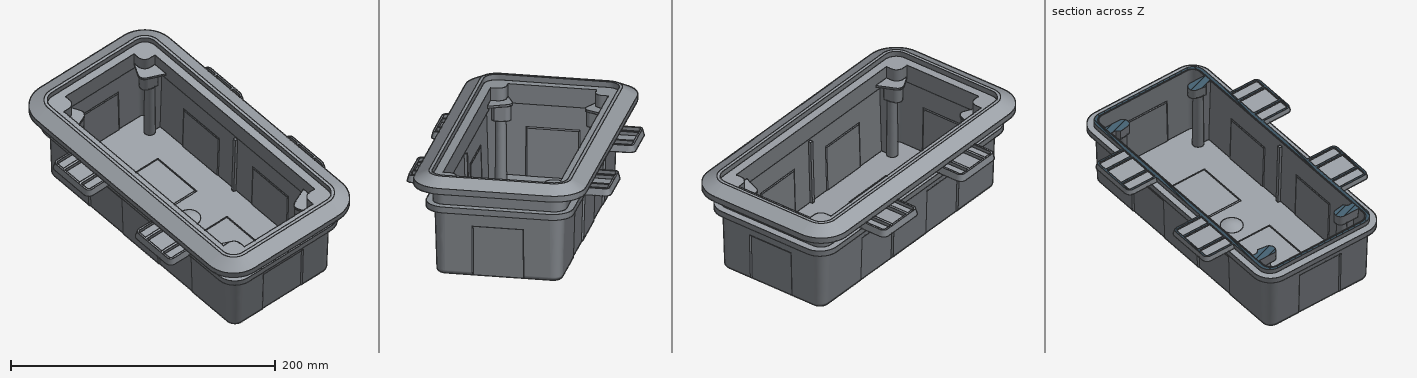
import cadquery as cq
import math


LENGTH = 249.0
WIDTH = 132.5
HEIGHT = 81.0
SPLIT_Z = 57.3

BOX_LENGTH = 219.5
BOX_WIDTH = 100.5
BOX_CORNER_RADIUS = 9.7
DRAFT = 1.7
WALL = 3.0
FLOOR = 2.5
BOTTOM_FILLET = 3.2
COLLAR_OVERHANG = 6.5
COLLAR_THICKNESS = 4.7
NECK_INSET = 1.5
NECK_TOP_Z = 61.0

PANEL_SIZE = 39.8
PANEL_TOP_Z = 40.8
PANEL_SPACING = 80.2
PANEL_RECESS = 1.5
RECESS_TAPER = 25
PAD_SIZE = 41.8
PAD_TOP_Z = 41.8
PAD_RAISE = 0.5
PAD_BEVEL = 65
FLOOR_PANEL_SIZE = 45.3

DOME_RADIUS = 8.7
DOME_HEIGHT = 2.0
RIB_WIDTH = 2.5
RIB_DEPTH = 2.2

FRAME_LENGTH = 220.5
FRAME_WIDTH = 103.0
FRAME_CORNER_RADIUS = 10.0
RIM_CORNER_RADIUS = 24.5
RIM_BOTTOM_Z = 70.5
RIM_EDGE = 4.7
RIM_SLOPE_RUN = 11.5
RIM_LIP = 2.5
LEDGE_Z = 76.5
OPENING_LENGTH = 207.7
OPENING_WIDTH = 91.0

COLUMN_SIDE = 11.2
COLUMN_RADIUS = 6.5
LUG_TOP_Z = 66.2
LUG_THICKNESS = 1.7
LUG_BOTTOM_Z = LUG_TOP_Z - LUG_THICKNESS
LUG_TIP = (88.1, 26.5)
LUG_TIP_RADIUS = 5.0
LUG_WALL_X = 79.7

POST_X = 88.5
POST_Y = 36.5
POST_BASE_RADIUS = 4.5
POST_TOP_RADIUS = 4.0
CAP_BOTTOM_Z = 52.8
CAP_BACK_X = 87.0
CAP_SIDE = (84.2, 41.0)
CAP_SIDE_RUN = 2.5
CAP_TIP_CENTER = (90.1, 34.0)
CAP_TIP_RADIUS = 5.0
CAP_TIP_START = 200
WEB_THICKNESS = 2.7

TAB_SPACING = 95.0
TAB_LENGTH = 43.5
TAB_SPAN = 157.5
TAB_HEIGHT = 5.2
TAB_SIDE_INSET = 1.5
TAB_CORNER_RADIUS = 5.0
TAB_RIM = 1.5
TAB_POCKET_DEPTH = 2.7
TAB_RIB_WIDTH = 2.0
TAB_RIB_OFFSET = 9.5

SIDES = (-1, 1)
OVERCUT = 2.5
DRAFT_SLOPE = math.tan(math.radians(DRAFT))


def rounded_block(length, width, radius, bottom_z, height, taper=0.0):
    """Upright block centred on the Z axis with rounded vertical corners."""
    outline = cq.Sketch().rect(length, width).vertices().fillet(radius)
    return cq.Workplane("XY", origin=(0, 0, bottom_z)).placeSketch(outline).extrude(height, taper=taper)


def box_block(inset, bottom_z, height, taper=0.0):
    """Block with the outline of the box at the split plane, moved inward by inset."""
    return rounded_block(
        BOX_LENGTH - 2 * inset, BOX_WIDTH - 2 * inset, BOX_CORNER_RADIUS - inset, bottom_z, height, taper
    )


def in_four_corners(shape):
    """The given shape with its mirror images in the other three corners."""
    pair = shape.union(shape.mirror("YZ"))
    return pair.union(pair.mirror("XZ"))


def cap_prism(bottom_z, top_z):
    """Prism of the post cap, running from its rounded tip past the long wall of its corner."""
    far_y = BOX_WIDTH / 2
    center_x, center_y = CAP_TIP_CENTER

    def tip_point(degrees):
        angle = math.radians(degrees)
        return (center_x + CAP_TIP_RADIUS * math.cos(angle), center_y + CAP_TIP_RADIUS * math.sin(angle))

    outline = (
        cq.Workplane("XY", origin=(0, 0, bottom_z))
        .moveTo(CAP_BACK_X, far_y)
        .lineTo(CAP_BACK_X, CAP_SIDE[1] + CAP_SIDE_RUN)
        .lineTo(*CAP_SIDE)
        .lineTo(*tip_point(CAP_TIP_START))
        .threePointArc(tip_point((CAP_TIP_START + 360) / 2), tip_point(360))
        .lineTo(center_x + CAP_TIP_RADIUS, far_y)
        .close()
    )
    return outline.extrude(top_z - bottom_z)


def frame_opening():
    """Clear rectangular opening of the frame, from the split plane up."""
    return (
        cq.Workplane("XY", origin=(0, 0, SPLIT_Z))
        .rect(OPENING_LENGTH, OPENING_WIDTH)
        .extrude(HEIGHT - SPLIT_Z)
    )


def box_shell():
    outer = box_block(0, SPLIT_Z, -SPLIT_Z, DRAFT).faces("<Z").edges().fillet(BOTTOM_FILLET)
    collar = box_block(-COLLAR_OVERHANG, SPLIT_Z - COLLAR_THICKNESS, COLLAR_THICKNESS)
    neck = box_block(NECK_INSET, SPLIT_Z, NECK_TOP_Z - SPLIT_Z)
    mouth_inset = WALL - (NECK_TOP_Z - SPLIT_Z) * DRAFT_SLOPE
    cavity = box_block(mouth_inset, NECK_TOP_Z, FLOOR - NECK_TOP_Z, DRAFT)
    return outer.union(collar).union(neck).cut(cavity)


def wall_plane(half_width, along):
    """Plane on a drafted wall facing -Y, with its origin at the height of the underside."""
    foot_y = half_width - SPLIT_Z * DRAFT_SLOPE
    angle = math.radians(DRAFT)
    return cq.Plane(
        origin=(along, -foot_y, 0), xDir=(1, 0, 0), normal=(0, -math.cos(angle), -math.sin(angle))
    )


def panel_recess(half_width, along):
    """Cutter for the outside of a knockout, open at the underside of the box."""
    height = PANEL_TOP_Z + OVERCUT
    cutter = cq.Workplane(wall_plane(half_width, along)).center(0, PANEL_TOP_Z - height / 2)
    return cutter.rect(PANEL_SIZE, height).extrude(-PANEL_RECESS, taper=RECESS_TAPER)


def panel_pad(half_width, along):
    """Raised pad with bevelled edges on the inside of a knockout."""
    foot = FLOOR / 2
    height = PAD_TOP_Z - foot
    pad = cq.Workplane(wall_plane(half_width - WALL, along)).center(0, foot + height / 2)
    return pad.rect(PAD_SIZE, height).extrude(-PAD_RAISE, taper=PAD_BEVEL)


def add_wall_panels(body):
    """Two knockouts in each long wall and one in each end wall."""
    long_wall = [(BOX_WIDTH / 2, side * PANEL_SPACING / 2, turn) for side in SIDES for turn in (0, 180)]
    end_wall = [(BOX_LENGTH / 2, 0, turn) for turn in (90, 270)]
    for half_width, along, turn in long_wall + end_wall:
        pad = panel_pad(half_width, along).rotate((0, 0, 0), (0, 0, 1), turn)
        recess = panel_recess(half_width, along).rotate((0, 0, 0), (0, 0, 1), turn)
        body = body.union(pad).cut(recess)
    return body


def floor_panels():
    places = [(side * PANEL_SPACING / 2, 0) for side in SIDES]
    pads = cq.Workplane("XY", origin=(0, 0, FLOOR)).pushPoints(places)
    return pads.rect(FLOOR_PANEL_SIZE, FLOOR_PANEL_SIZE).extrude(PAD_RAISE, taper=PAD_BEVEL)


def floor_dome():
    profile = (
        cq.Workplane("XZ", origin=(0, 0, FLOOR))
        .moveTo(0, DOME_HEIGHT)
        .radiusArc((DOME_RADIUS, 0), (DOME_RADIUS**2 + DOME_HEIGHT**2) / (2 * DOME_HEIGHT))
        .lineTo(0, 0)
        .close()
    )
    return profile.revolve(360, (0, 0), (0, 1))


def wall_ribs():
    """One upright rib in the middle of each long wall, as deep at the top as at the floor."""
    top_y = BOX_WIDTH / 2 - WALL
    floor_y = top_y - (SPLIT_Z - FLOOR) * DRAFT_SLOPE
    joint = WALL / 2
    profile = [
        (top_y + joint, SPLIT_Z), (top_y - RIB_DEPTH, SPLIT_Z),
        (floor_y - RIB_DEPTH, FLOOR), (floor_y + joint, FLOOR),
    ]
    rib = cq.Workplane("YZ").polyline(profile).close().extrude(RIB_WIDTH / 2, both=True)
    return rib.union(rib.mirror("XZ"))


def screw_posts():
    """Tapered post, web to the long wall and cap reaching up to the frame lug, in each corner."""
    height = CAP_BOTTOM_Z - FLOOR
    post_taper = math.degrees(math.atan((POST_BASE_RADIUS - POST_TOP_RADIUS) / height))
    floor_plane = cq.Workplane("XY", origin=(0, 0, FLOOR))
    post = floor_plane.center(POST_X, POST_Y).circle(POST_BASE_RADIUS).extrude(height, taper=post_taper)
    web_depth = BOX_WIDTH / 2 - WALL - POST_Y
    web = floor_plane.center(CAP_BACK_X, POST_Y).rect(WEB_THICKNESS, web_depth, centered=False).extrude(height)
    neck_outline = box_block(NECK_INSET, CAP_BOTTOM_Z, NECK_TOP_Z - CAP_BOTTOM_Z)
    cap = cap_prism(CAP_BOTTOM_Z, NECK_TOP_Z).intersect(neck_outline)
    cap_top = cap_prism(NECK_TOP_Z, LUG_BOTTOM_Z).intersect(frame_opening())
    return in_four_corners(post.union(web).union(cap).union(cap_top))


def make_box():
    body = add_wall_panels(box_shell())
    return body.union(floor_panels()).union(floor_dome()).union(wall_ribs()).union(screw_posts())


def frame_ring():
    """Upright wall and sloped rim, stepped down to a ledge around the opening."""
    skirt = rounded_block(
        FRAME_LENGTH, FRAME_WIDTH, FRAME_CORNER_RADIUS, SPLIT_Z, RIM_BOTTOM_Z - SPLIT_Z
    )
    rim_height = HEIGHT - RIM_BOTTOM_Z
    rim = rounded_block(LENGTH, WIDTH, RIM_CORNER_RADIUS, RIM_BOTTOM_Z, rim_height)
    rim = rim.faces(">Z").edges().chamfer(rim_height - RIM_EDGE, RIM_SLOPE_RUN)
    inset = RIM_SLOPE_RUN + RIM_LIP
    recess = rounded_block(
        LENGTH - 2 * inset, WIDTH - 2 * inset, RIM_CORNER_RADIUS - inset, LEDGE_Z, HEIGHT - LEDGE_Z
    )
    return skirt.union(rim).cut(recess)


def side_tabs():
    """Tabs with sloped sides and an open pocket crossed by two ribs, two on each long side."""
    root_y = OPENING_WIDTH / 2
    depth = TAB_SPAN / 2 - root_y
    slope = math.degrees(math.atan(TAB_SIDE_INSET / TAB_HEIGHT))
    outline = cq.Sketch().rect(TAB_LENGTH, depth).vertices(">Y").fillet(TAB_CORNER_RADIUS)
    tab = (
        cq.Workplane("XY", origin=(0, root_y + depth / 2, SPLIT_Z))
        .placeSketch(outline)
        .extrude(TAB_HEIGHT, taper=slope)
    )

    margin = TAB_SIDE_INSET + TAB_RIM
    pocket_root_y = FRAME_WIDTH / 2
    pocket_depth = TAB_SPAN / 2 - margin - pocket_root_y
    pocket_outline = (
        cq.Sketch().rect(TAB_LENGTH - 2 * margin, pocket_depth)
        .vertices(">Y").fillet(TAB_CORNER_RADIUS - margin)
    )
    pocket = (
        cq.Workplane("XY", origin=(0, pocket_root_y + pocket_depth / 2, SPLIT_Z + TAB_HEIGHT))
        .placeSketch(pocket_outline)
        .extrude(-TAB_POCKET_DEPTH)
    )
    ribs = (
        cq.Workplane("XY", origin=(0, pocket_root_y + pocket_depth / 2, SPLIT_Z))
        .pushPoints([(side * TAB_RIB_OFFSET, 0) for side in SIDES])
        .rect(TAB_RIB_WIDTH, pocket_depth)
        .extrude(TAB_HEIGHT)
    )
    tab = tab.cut(pocket.cut(ribs))
    return in_four_corners(tab.translate((TAB_SPACING / 2, 0, 0)))


def corner_lugs():
    """Rounded column under the ledge with a thin lug at its foot, in each corner."""
    edge_x = OPENING_LENGTH / 2
    edge_y = OPENING_WIDTH / 2
    joint_x = edge_x + OVERCUT
    joint_y = edge_y + OVERCUT
    column_x = edge_x - COLUMN_SIDE
    column_y = edge_y - COLUMN_SIDE

    column = (
        cq.Workplane("XY", origin=(column_x, column_y, LUG_BOTTOM_Z))
        .rect(joint_x - column_x, joint_y - column_y, centered=False)
        .extrude(LEDGE_Z - LUG_BOTTOM_Z)
        .edges("|Z and <X and <Y").fillet(COLUMN_RADIUS)
    )
    outline = [
        (LUG_WALL_X, joint_y), (LUG_WALL_X, edge_y), LUG_TIP,
        (edge_x, column_y), (joint_x, column_y), (joint_x, joint_y),
    ]
    lug = (
        cq.Workplane("XY", origin=(0, 0, LUG_BOTTOM_Z)).polyline(outline).close().extrude(LUG_THICKNESS)
        .edges("|Z and <Y").fillet(LUG_TIP_RADIUS)
    )
    return in_four_corners(column.union(lug))


def make_frame():
    neck_socket = box_block(NECK_INSET, SPLIT_Z, NECK_TOP_Z - SPLIT_Z)
    ring = frame_ring().union(side_tabs()).cut(frame_opening())
    return ring.union(corner_lugs()).cut(neck_socket)


box = make_box()
frame = make_frame()
result = cq.Compound.makeCompound([*box.solids().vals(), *frame.solids().vals()])